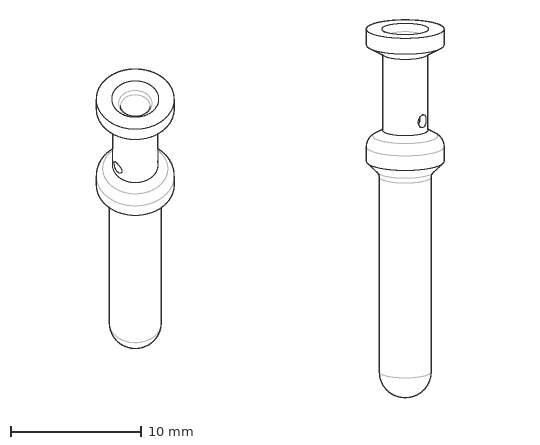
import cadquery as cq
import math

length = 29.1
flange_radius = 3.0
neck_radius = 1.75
pin_radius = 2.0

flange_rim_depth = 1.25
collar_top_depth = 8.0
collar_rim_end_depth = 10.45
vent_depth = 7.0

taper_angle = math.radians(30)
shoulder_round = 1.0
pin_root_round = 0.6
collar_cone_angle = math.radians(45)

mouth_radius = 1.8
bore_radius = 1.13
bore_depth = 8.0
mouth_angle = math.radians(45)
mouth_round = 0.5
drill_half_angle = math.radians(59)
vent_diameter = 1.0


def arc_point(center, radius, angle):
    """Point on an arc in the (radius, height) half plane."""
    return (center[0] + radius * math.cos(angle), center[1] + radius * math.sin(angle))


def make_body():
    """Revolve the outside of the pin about Z, with the top face at the full length."""
    flange_rim_z = length - flange_rim_depth
    neck_top_z = flange_rim_z - (flange_radius - neck_radius) * math.tan(taper_angle)
    collar_top_z = length - collar_top_depth
    collar_rim_end_z = length - collar_rim_end_depth

    shoulder_center_r = flange_radius - shoulder_round
    shoulder_sweep = math.pi / 2 - taper_angle
    shoulder_start_r = shoulder_center_r + shoulder_round * math.cos(shoulder_sweep)
    shoulder_start_z = collar_top_z - (shoulder_start_r - neck_radius) * math.tan(taper_angle)
    shoulder_center = (shoulder_center_r, shoulder_start_z - shoulder_round * math.sin(shoulder_sweep))

    cone_end_z = collar_rim_end_z - (flange_radius - pin_radius) * math.tan(collar_cone_angle)
    root_tangent = pin_root_round * math.tan((math.pi / 2 - collar_cone_angle) / 2)
    root_center = (pin_radius + pin_root_round, cone_end_z - root_tangent)
    root_sweep = math.pi / 2 - collar_cone_angle

    profile = (
        cq.Workplane("XZ")
        .moveTo(0, length)
        .lineTo(flange_radius, length)
        .lineTo(flange_radius, flange_rim_z)
        .lineTo(neck_radius, neck_top_z)
        .lineTo(neck_radius, collar_top_z)
        .lineTo(shoulder_start_r, shoulder_start_z)
        .threePointArc(
            arc_point(shoulder_center, shoulder_round, shoulder_sweep / 2),
            arc_point(shoulder_center, shoulder_round, 0),
        )
        .lineTo(flange_radius, collar_rim_end_z)
        .lineTo(*arc_point(root_center, pin_root_round, math.pi - root_sweep))
        .threePointArc(
            arc_point(root_center, pin_root_round, math.pi - root_sweep / 2),
            arc_point(root_center, pin_root_round, math.pi),
        )
        .lineTo(pin_radius, pin_radius)
        .threePointArc(arc_point((0, pin_radius), pin_radius, -math.pi / 4), (0, 0))
        .close()
    )
    return profile.revolve(360, (0, 0, 0), (0, 1, 0))


def make_bore():
    """Blind drilled bore with a countersunk mouth blended into its wall."""
    round_center_r = bore_radius + mouth_round
    round_start_r = round_center_r - mouth_round * math.cos(mouth_angle)
    round_start_z = length - (mouth_radius - round_start_r) * math.tan(mouth_angle)
    round_center = (round_center_r, round_start_z - mouth_round * math.sin(mouth_angle))
    bore_end_z = length - bore_depth
    tip_z = bore_end_z - bore_radius / math.tan(drill_half_angle)

    profile = (
        cq.Workplane("XZ")
        .moveTo(0, length)
        .lineTo(mouth_radius, length)
        .lineTo(round_start_r, round_start_z)
        .threePointArc(
            arc_point(round_center, mouth_round, math.pi - mouth_angle / 2),
            arc_point(round_center, mouth_round, math.pi),
        )
        .lineTo(bore_radius, bore_end_z)
        .lineTo(0, tip_z)
        .close()
    )
    return profile.revolve(360, (0, 0, 0), (0, 1, 0))


def make_vent():
    """Radial hole from the -Y side of the neck into the bore."""
    return (
        cq.Workplane("XZ")
        .center(0, length - vent_depth)
        .circle(vent_diameter / 2)
        .extrude(flange_radius)
    )


result = make_body().cut(make_bore()).cut(make_vent())